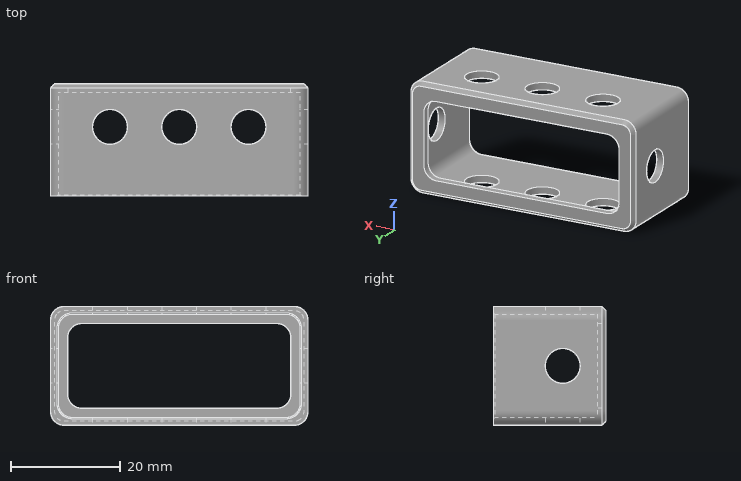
import cadquery as cq

length = 47.24
depth = 20.64
height = 21.84
corner_radius = 2.54

side_wall = 1.46
back_wall = 1.6
back_chamfer = 0.77

mouth_chamfer = 0.25

window_margin = 3.18

hole_diameter = 6.35
hole_pitch = 12.7
hole_count = 3
hole_from_back = 7.94

front_y = -depth / 2
back_y = depth / 2
hole_y = back_y - hole_from_back


def rounded_block(margin, radius, start_y, end_y):
    """Block inset by margin from the outer outline, with its Y-direction edges rounded."""
    block = cq.Workplane("XY").box(length - 2 * margin, end_y - start_y, height - 2 * margin)
    return block.edges("|Y").fillet(radius).translate((0, (start_y + end_y) / 2, 0))


def outer_body():
    body = rounded_block(0, corner_radius, front_y, back_y)
    return body.faces(">Y").chamfer(back_chamfer)


def cavity():
    return rounded_block(side_wall, corner_radius, front_y, back_y - back_wall)


def bevel_mouth(body):
    half_wall = side_wall / 2
    half_x = length / 2 - half_wall
    half_z = height / 2 - half_wall
    inner_rim = cq.selectors.BoxSelector(
        (-half_x, front_y - half_wall, -half_z),
        (half_x, front_y + half_wall, half_z),
        boundingbox=True,
    )
    return body.faces("<Y").edges(inner_rim).chamfer(mouth_chamfer)


def window():
    return rounded_block(window_margin, corner_radius, front_y, back_y)


def vertical_holes():
    drill = cq.Workplane("XY").center(0, hole_y).rarray(hole_pitch, 1, hole_count, 1)
    return drill.circle(hole_diameter / 2).extrude(height, both=True)


def cross_hole():
    drill = cq.Workplane("YZ").center(hole_y, 0)
    return drill.circle(hole_diameter / 2).extrude(length, both=True)


shell = bevel_mouth(outer_body().cut(cavity()))
result = shell.cut(window()).cut(vertical_holes()).cut(cross_hole())